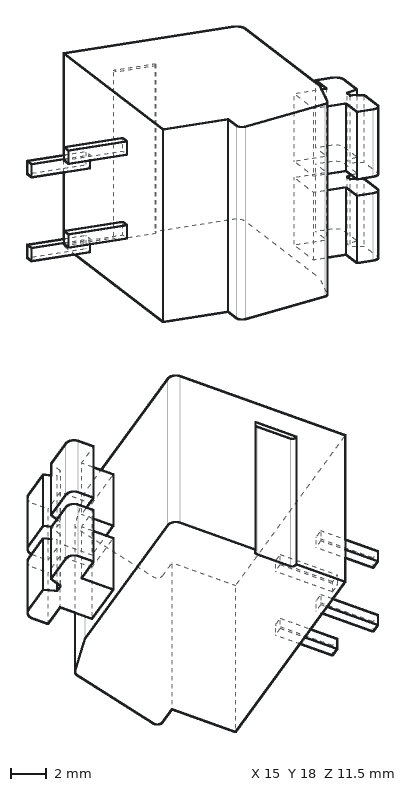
import cadquery as cq
import math

total_length = 18.0
total_width = 15.0
housing_height = 11.5
housing_front = 3.6
housing_back = 14.5
pole_pitch = 5.0

base_width = 13.5
ledge_y = 7.6
bevel_start_x = 10.7
bevel_slope = math.tan(math.radians(15))
corner_radius = 0.52
bevel_radius = 0.4
nose_radius = 0.32

groove_front = 6.68
groove_back = 9.23
groove_height = 10.0
groove_depth = 0.29
groove_fillet = 0.23

button_center_x = 8.51
button_bottom = 0.81
button_height = 4.03
cap_width = 5.62
cap_thickness = 1.5
stem_width = 2.63
notch_top_width = 0.97
notch_floor_width = 0.43
notch_depth = 0.74

pin_width = 0.6
pin_height = 0.8
pin_column_x = 3.31
pin_bottom_z = 1.25
pole_count = 2


def make_housing():
    half_nose_angle = math.radians(75) / 2
    nose_x = total_width + nose_radius * (1 / math.tan(half_nose_angle) - 1)
    bevel_end_x = (
        nose_x - bevel_slope * (housing_back - ledge_y + bevel_slope * bevel_start_x)
    ) / (1 - bevel_slope**2)
    bevel_end_y = housing_back - bevel_slope * (bevel_end_x - bevel_start_x)
    outline = [
        (0, housing_front),
        (base_width, housing_front),
        (base_width, ledge_y),
        (nose_x, ledge_y),
        (bevel_end_x, bevel_end_y),
        (bevel_start_x, housing_back),
        (0, housing_back),
    ]
    housing = cq.Workplane("XY").polyline(outline).close().extrude(housing_height)
    rounded_corners = [
        (0, housing_back, corner_radius),
        (bevel_end_x, bevel_end_y, bevel_radius),
        (nose_x, ledge_y, nose_radius),
    ]
    for x, y, radius in rounded_corners:
        corner = cq.selectors.NearestToPointSelector((x, y, housing_height / 2))
        housing = housing.edges(corner).fillet(radius)
    return housing


def make_groove():
    groove = cq.Workplane("XY").box(
        groove_depth, groove_back - groove_front, groove_height, centered=False
    )
    groove = groove.edges("|Z and >X").fillet(groove_fillet)
    return groove.translate((0, groove_front, 0))


def make_button(bottom_z):
    cap_front = total_length - cap_thickness
    cap = (
        cq.Workplane("XY")
        .center(button_center_x, cap_front + cap_thickness / 2)
        .rect(cap_width, cap_thickness)
        .extrude(button_height)
        .edges("|Z and >Y")
        .fillet(corner_radius)
    )
    stem_length = cap_front - housing_back
    stem = (
        cq.Workplane("XY")
        .center(button_center_x, housing_back + stem_length / 2)
        .rect(stem_width, stem_length)
        .extrude(button_height)
    )
    notch_floor_y = total_length - notch_depth
    notch = (
        cq.Workplane("XY")
        .polyline(
            [
                (button_center_x - notch_top_width / 2, total_length),
                (button_center_x - notch_floor_width / 2, notch_floor_y),
                (button_center_x + notch_floor_width / 2, notch_floor_y),
                (button_center_x + notch_top_width / 2, total_length),
            ]
        )
        .close()
        .extrude(button_height)
    )
    return cap.union(stem).cut(notch).translate((0, 0, bottom_z))


def make_pin(x, z):
    return cq.Workplane("XY").box(pin_width, housing_front, pin_height).translate((x, housing_front / 2, z))


result = make_housing().cut(make_groove())
for pole in range(pole_count):
    pole_z = pole * pole_pitch
    result = result.union(make_button(button_bottom + pole_z))
    result = result.union(make_pin(pin_column_x, pin_bottom_z + pole_z))
    result = result.union(make_pin(pin_column_x + pole_pitch, pin_bottom_z + pole_z + pole_pitch / 2))